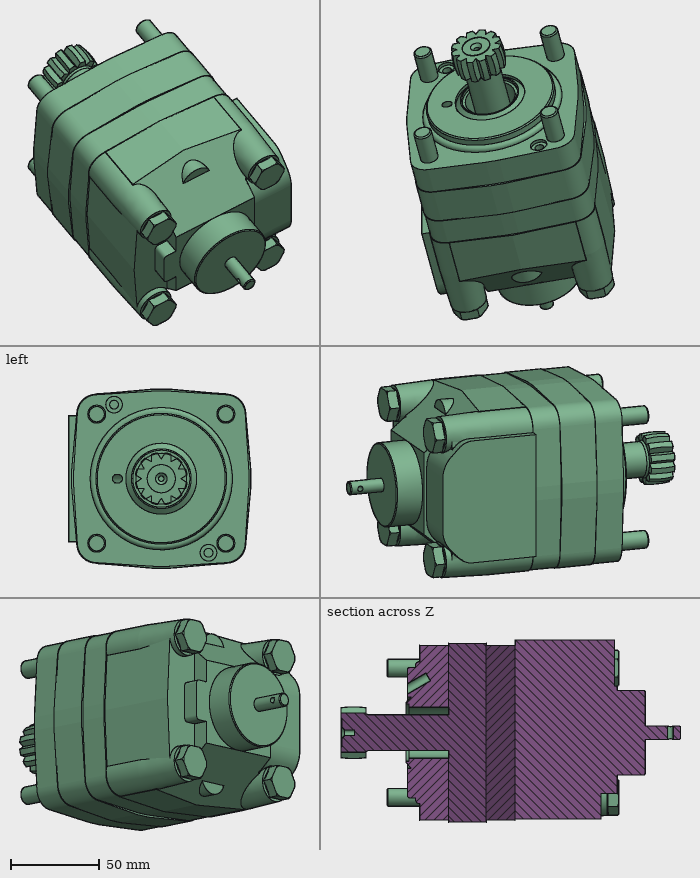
import cadquery as cq
import math


pinion_end = 14.2
bolt_tip = 26.0
lip_face = 36.8
pilot_face = 37.7
lip_root = 39.7
shoulder_face = 42.2
flange_front = 44.7
ring_front = 61.0
plate_front = 82.4
housing_front = 98.8
slope_start = 124.0
side_end = 147.5
head_seat = 151.0
neck_end = 156.7
head_end = 157.5
cap_end = 172.5
overall_length = 192.5

bolt_offset = 36.5
bolt_dia = 10.2
bolt_chamfer = 0.8
head_flats = 17.7
head_chamfer = 0.8
washer_dia = 17.0
washer_thickness = 0.5

plate_crown = 49.7
plate_corner_radius = 11.0
plate_crown_flat = 3.8
ring_crown = 50.8
ring_corner_radius = 11.4
ring_crown_flat = 4.6

pilot_dia = 74.1
pilot_chamfer = 0.8
shoulder_dia = 80.7
shoulder_round = 2.3
lip_base_dia = 40.2
lip_tip_dia = 33.9
lip_bore_dia = 32.3
lip_bore_end = 38.5
bore_dia = 28.9
drain_dia = 5.0
drain_y = 24.8
drain_depth = 13.5
drain_tilt = 30.0
screw_y = 26.8
screw_z = 42.0
screw_recess_dia = 9.5
screw_recess_depth = 2.0
screw_socket_dia = 5.0
screw_socket_depth = 5.8

shaft_dia = 20.5
flare_dia = 21.5
flare_end = 15.5
pinion_end_dia = 28.7
pinion_mid_dia = 29.8
tooth_count = 12
tooth_root_radius = 11.2
tooth_gap_half_angle = 32.0
tooth_gap_overshoot = 2.0
face_circle_dia = 16.0
face_circle_depth = 0.4
centre_cone_dia = 6.5
centre_hole_dia = 3.0
centre_hole_depth = 7.7

housing_crown_z = 50.8
housing_crown_y = 48.9
top_shoulder = (36.5, 48.1)
side_shoulder = (46.8, 37.0)
housing_corner_radius = 11.4
boss_tip_radius = 10.4
neck_half_width = 26.5
side_wall_half_height = 35.2
rib_half_height = 11.5
rib_depth = 34.6
rib_round = 2.3
hump_dia = 18.7
hump_z = 37.2
hump_end = 137.0

pad_face = 52.5
pad_root = 19.2
pad_half_height = 35.8
pad_taper_start = 141.9
pad_end = 155.2
pad_taper_round = 11.5
pad_end_round = 16.4

cap_dia = 48.1
cap_chamfer = 0.5
sensor_dia = 7.7
sensor_chamfer = 0.5
cross_hole_dia = 3.0
cross_hole_x = 186.7

bolt_points = [(sy * bolt_offset, sz * bolt_offset) for sy in (1, -1) for sz in (1, -1)]


def section(x):
    """Sketch plane across the axis at x: local x is +Y, local y is +Z."""
    return cq.Workplane("YZ", origin=(x, 0, 0))


def cylinder(x0, x1, dia, y=0.0, z=0.0):
    return section(x0).center(y, z).circle(dia / 2).extrude(x1 - x0)


def turned(profile):
    """Revolve (x, radius) points about the X axis."""
    return cq.Workplane("XY").polyline(profile).close().revolve(360, (0, 0, 0), (1, 0, 0))


def cone(x0, x1, dia0, dia1):
    return turned([(x0, 0), (x0, dia0 / 2), (x1, dia1 / 2), (x1, 0)])


def bolt_holes(x0, x1):
    return section(x0).pushPoints(bolt_points).circle(bolt_dia / 2).extrude(x1 - x0)


def crowned_plate(x0, x1, crown, corner_radius, crown_flat):
    """Square plate with crowned sides running tangent into corners centred on the bolts."""
    across = bolt_offset - crown_flat
    rise = crown - bolt_offset
    to_crown = math.atan2(rise, -across)
    tangent = to_crown - math.acos(corner_radius / math.hypot(across, rise))

    def corner_point(angle):
        return (
            bolt_offset + corner_radius * math.cos(angle),
            bolt_offset + corner_radius * math.sin(angle),
        )

    def turn(point, quarter):
        y, z = point
        for _ in range(quarter):
            y, z = z, -y
        return (y, z)

    outline = section(x0).moveTo(-crown_flat, crown)
    for quarter in range(4):
        outline = outline.lineTo(*turn((crown_flat, crown), quarter))
        outline = outline.lineTo(*turn(corner_point(tangent), quarter))
        outline = outline.threePointArc(
            turn(corner_point(math.pi / 4), quarter),
            turn(corner_point(math.pi / 2 - tangent), quarter),
        )
        outline = outline.lineTo(*turn((crown, crown_flat), quarter))
    return outline.close().extrude(x1 - x0)


def make_drain():
    """Drain drilling that leans away from the axis behind the pilot face."""
    drain = cylinder(pilot_face - drain_dia, pilot_face + drain_depth, drain_dia, drain_y)
    mouth = (pilot_face, drain_y, 0)
    return drain.rotate(mouth, (pilot_face, drain_y, 1), drain_tilt)


def make_flange():
    pilot = cylinder(pilot_face, shoulder_face, pilot_dia).faces("<X").chamfer(pilot_chamfer)
    shoulder = cylinder(shoulder_face, flange_front, shoulder_dia).faces("<X").edges().fillet(shoulder_round)
    flange = (
        crowned_plate(flange_front, ring_front, plate_crown, plate_corner_radius, plate_crown_flat)
        .union(shoulder)
        .union(pilot)
        .cut(cylinder(pilot_face, lip_root, lip_base_dia))
        .union(cone(lip_face, lip_root, lip_tip_dia, lip_base_dia))
        .cut(cylinder(lip_face, lip_bore_end, lip_bore_dia))
        .cut(cylinder(lip_bore_end, ring_front, bore_dia))
        .cut(make_drain())
        .cut(bolt_holes(flange_front, ring_front))
    )
    recess_floor = flange_front + screw_recess_depth
    for side in (1, -1):
        y = side * screw_y
        z = side * screw_z
        flange = flange.cut(cylinder(flange_front, recess_floor, screw_recess_dia, y, z))
        flange = flange.cut(
            cylinder(recess_floor, recess_floor + screw_socket_depth, screw_socket_dia, y, z)
        )
    return flange


def make_output_shaft():
    """Shaft with a barrel-shaped 12-tooth pinion, standing on the front face of the gear ring."""
    pinion = (
        cq.Workplane("XY")
        .moveTo(0, 0)
        .lineTo(0, pinion_end_dia / 2)
        .threePointArc((pinion_end / 2, pinion_mid_dia / 2), (pinion_end, pinion_end_dia / 2))
        .lineTo(pinion_end, 0)
        .close()
        .revolve(360, (0, 0, 0), (1, 0, 0))
    )
    gap_top = pinion_mid_dia / 2 + tooth_gap_overshoot
    gap_half_width = (gap_top - tooth_root_radius) * math.tan(math.radians(tooth_gap_half_angle))
    tooth_gap = (
        section(0)
        .polyline([(0, tooth_root_radius), (gap_half_width, gap_top), (-gap_half_width, gap_top)])
        .close()
        .extrude(pinion_end)
    )
    for tooth in range(tooth_count):
        angle = tooth * 360 / tooth_count
        pinion = pinion.cut(tooth_gap.rotate((0, 0, 0), (1, 0, 0), angle))

    shaft = (
        pinion.union(cone(pinion_end, flare_end, flare_dia, shaft_dia))
        .union(cylinder(flare_end, ring_front, shaft_dia))
        .cut(cylinder(0, face_circle_depth, face_circle_dia))
        .cut(cylinder(0, centre_hole_depth, centre_hole_dia))
    )
    cone_depth = (centre_cone_dia - centre_hole_dia) / 2
    cone_end = face_circle_depth + cone_depth
    return shaft.cut(cone(face_circle_depth, cone_end, centre_cone_dia, centre_hole_dia))


def make_ring():
    ring = crowned_plate(ring_front, plate_front, ring_crown, ring_corner_radius, ring_crown_flat)
    return ring.union(make_output_shaft()).cut(bolt_holes(ring_front, plate_front))


def make_plate():
    plate = crowned_plate(plate_front, housing_front, plate_crown, plate_corner_radius, plate_crown_flat)
    return plate.cut(bolt_holes(plate_front, housing_front))


def make_main_block():
    """Crowned block with a round column at each corner up to slope_start."""
    outline = []
    for sy, sz in ((1, 1), (1, -1), (-1, -1), (-1, 1)):
        corner = [
            (sy * top_shoulder[0], sz * top_shoulder[1]),
            (sy * side_shoulder[0], sz * side_shoulder[1]),
        ]
        if sy * sz > 0:
            outline += [(0, sz * housing_crown_z)] + corner
        else:
            outline += [(sy * housing_crown_y, 0)] + corner[::-1]
    block = section(housing_front).polyline(outline).close().extrude(side_end - housing_front)
    return block.union(
        section(housing_front)
        .pushPoints(bolt_points)
        .circle(housing_corner_radius)
        .extrude(slope_start - housing_front)
    )


def make_sloped_envelope():
    """Side outline of the block and neck, wide enough to cover them across Y."""
    half_width = 2 * housing_crown_y
    return (
        cq.Workplane("XZ", origin=(0, half_width, 0))
        .polyline(
            [
                (housing_front, housing_crown_z),
                (slope_start, housing_crown_z),
                (neck_end, cap_dia / 2),
                (neck_end, -cap_dia / 2),
                (slope_start, -housing_crown_z),
                (housing_front, -housing_crown_z),
            ]
        )
        .close()
        .extrude(2 * half_width)
    )


def make_neck():
    neck = (
        cq.Workplane("XY")
        .box(neck_end - side_end, 2 * neck_half_width, 2 * housing_crown_z)
        .translate(((side_end + neck_end) / 2, 0, 0))
    )
    rib = (
        cq.Workplane("XY")
        .box(neck_end - side_end, rib_depth, 2 * rib_half_height)
        .translate(((side_end + neck_end) / 2, -rib_depth / 2, 0))
        .edges("<Y and |X")
        .fillet(rib_round)
    )
    return neck.union(rib)


def make_side_walls(block):
    """Outer strips of the block that keep their full height below the bolt bosses."""
    strip = cq.Workplane("XY").box(side_end - housing_front, bolt_offset, 2 * side_wall_half_height)
    mid_x = (housing_front + side_end) / 2
    strips = strip.translate((mid_x, 1.5 * bolt_offset, 0)).union(
        strip.translate((mid_x, -1.5 * bolt_offset, 0))
    )
    return block.intersect(strips)


def make_bolt_bosses():
    """Tapered bosses that carry the bolt heads."""
    boss = cone(slope_start, head_seat, 2 * housing_corner_radius, 2 * boss_tip_radius)
    return [boss.translate((0, y, z)) for y, z in bolt_points]


def make_port_pad():
    """Port pad on the +Y side, narrowing towards the rear."""
    end_half_height = pad_half_height - (pad_end - pad_taper_start)
    pad = (
        cq.Workplane("XZ", origin=(0, pad_face, 0))
        .polyline(
            [
                (housing_front, pad_half_height),
                (pad_taper_start, pad_half_height),
                (pad_end, end_half_height),
                (pad_end, -end_half_height),
                (pad_taper_start, -pad_half_height),
                (housing_front, -pad_half_height),
            ]
        )
        .close()
        .extrude(pad_face - pad_root)
    )
    mid_depth = (pad_face + pad_root) / 2
    for side in (1, -1):
        taper_corner = (pad_taper_start, mid_depth, side * pad_half_height)
        pad = pad.edges("|Y").edges(cq.NearestToPointSelector(taper_corner)).fillet(pad_taper_round)
    return pad.edges("|Y and >X").fillet(pad_end_round)


def make_housing():
    block = make_main_block()
    body = block.union(make_neck()).intersect(make_sloped_envelope())
    body = body.union(make_side_walls(block))
    for side in (1, -1):
        body = body.union(cylinder(slope_start, hump_end, hump_dia, 0, side * hump_z))
    for boss in make_bolt_bosses():
        body = body.union(boss)
    cap = cylinder(neck_end, cap_end, cap_dia).faces(">X").chamfer(cap_chamfer)
    sensor = cylinder(cap_end, overall_length, sensor_dia).faces(">X").chamfer(sensor_chamfer)
    cross_hole = (
        cq.Workplane("XZ", origin=(cross_hole_x, 0, 0))
        .circle(cross_hole_dia / 2)
        .extrude(sensor_dia, both=True)
    )
    return (
        body.union(make_port_pad())
        .union(cap)
        .union(sensor.cut(cross_hole))
        .cut(bolt_holes(housing_front, head_seat))
    )


def make_bolt(y, z):
    """Hex bolt with corners pointing along Y, its head seated on a housing boss."""
    shank = cylinder(bolt_tip, head_seat, bolt_dia).faces("<X").chamfer(bolt_chamfer)
    head_corners = head_flats / math.cos(math.pi / 6)
    head_front = head_seat + washer_thickness
    washer = cylinder(head_seat, head_front, washer_dia)
    head = section(head_front).polygon(6, head_corners).extrude(head_end - head_front)
    head_envelope = cylinder(head_front, head_end, head_corners).faces(">X").chamfer(head_chamfer)
    return shank.union(washer).union(head.intersect(head_envelope)).translate((0, y, z))


flange = make_flange()
ring = make_ring()
plate = make_plate()
housing = make_housing()
bolts = [make_bolt(y, z) for y, z in bolt_points]

result = cq.Compound.makeCompound(
    [flange.val(), ring.val(), plate.val(), housing.val(), *[bolt.val() for bolt in bolts]]
)